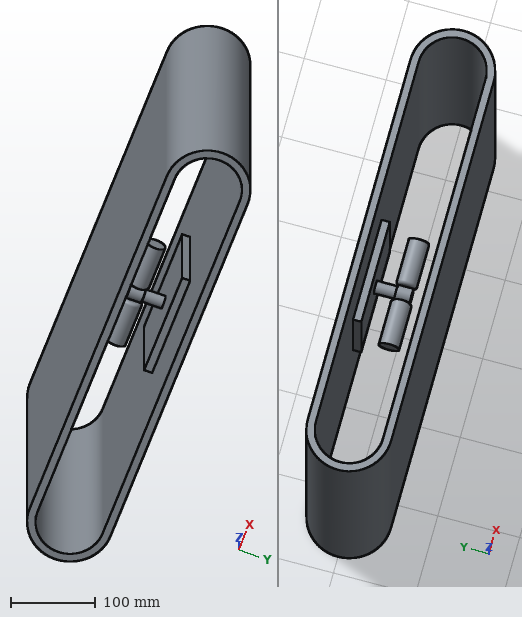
import cadquery as cq

SHADE_LENGTH = 559.0
SHADE_DEPTH = 101.5
SHADE_HEIGHT = 362.0
SHADE_WALL = 10.0

PLATE_SIDE = 127.0
PLATE_THICKNESS = 10.0
PLATE_FRONT_Y = SHADE_DEPTH / 2 - SHADE_WALL - PLATE_THICKNESS

STEM_DIAMETER = 15.5
HUB_DIAMETER = 19.0
HUB_LENGTH = 19.0
HUB_CENTRE_Y = -4.0
HUB_REAR_Y = HUB_CENTRE_Y + HUB_LENGTH / 2

BULB_DIAMETER = 25.0
BULB_SPAN = 133.5
BULB_ROUNDING = 4.0
BULB_LENGTH = (BULB_SPAN - HUB_DIAMETER) / 2


def make_shade():
    """Tube with half-round ends, open at the top and bottom."""
    inner_length = SHADE_LENGTH - 2 * SHADE_WALL
    inner_depth = SHADE_DEPTH - 2 * SHADE_WALL
    base = cq.Workplane("XY").workplane(offset=-SHADE_HEIGHT / 2)
    outer = base.slot2D(SHADE_LENGTH, SHADE_DEPTH).extrude(SHADE_HEIGHT)
    inner = base.slot2D(inner_length, inner_depth).extrude(SHADE_HEIGHT)
    return outer.cut(inner)


def make_plate():
    """Flat square plate standing parallel to the rear wall."""
    plate = cq.Workplane("XY").box(PLATE_SIDE, PLATE_THICKNESS, PLATE_SIDE)
    return plate.translate((0, PLATE_FRONT_Y + PLATE_THICKNESS / 2, 0))


def make_rod(diameter, rear_y, length):
    """Round rod running along -Y from rear_y."""
    return cq.Workplane("XZ", origin=(0, rear_y, 0)).circle(diameter / 2).extrude(length)


def make_bulb(side):
    """Bulb on the -X (side = -1) or +X (side = 1) flank, rounded at its hub end."""
    start = (side * HUB_DIAMETER / 2, HUB_CENTRE_Y, 0)
    bulb = cq.Workplane("YZ", origin=start).circle(BULB_DIAMETER / 2).extrude(side * BULB_LENGTH)
    hub_end = "<X" if side > 0 else ">X"
    return bulb.faces(hub_end).edges().fillet(BULB_ROUNDING)


shade = make_shade()
plate = make_plate()
stem = make_rod(STEM_DIAMETER, PLATE_FRONT_Y, PLATE_FRONT_Y - HUB_REAR_Y)
hub = make_rod(HUB_DIAMETER, HUB_REAR_Y, HUB_LENGTH)
bulbs = [make_bulb(side) for side in (-1, 1)]

result = cq.Compound.makeCompound(
    [shade.val(), plate.val(), stem.val(), hub.val(), *[bulb.val() for bulb in bulbs]]
)